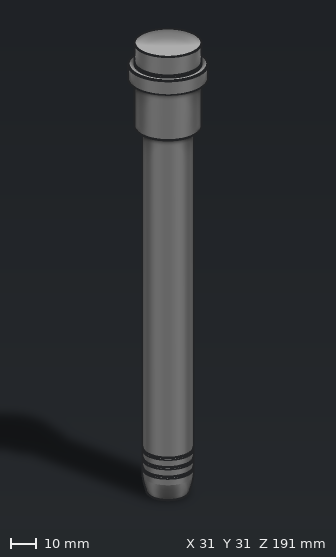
import cadquery as cq

total_length = 191.0
collar_top = total_length - 9.0
collar_bottom = total_length - 15.0
shoulder_bottom = total_length - 36.0

collar_radius = 15.5
head_radius = 13.0
pin_radius = 10.0
tip_radius = 8.4

collar_chamfer = 0.4
shoulder_chamfer = 0.5
head_chamfer = 0.2
tip_chamfer = 0.5

relief_height = 1.1
relief_depth = 0.5
collar_relief_height = 0.5
collar_relief_depth = 0.29

lead_in_height = 7.5
lead_in_bulge = 0.23

groove_count = 3
lowest_groove_height = 10.7
groove_pitch = 4.0
groove_width = 1.1
groove_depth = 0.4


def disc(radius, bottom, top):
    return cq.Workplane("XY").workplane(offset=bottom).circle(radius).extrude(top - bottom)


def v_ring(radius, depth, bottom, height):
    """Cutter for a V groove whose mouth lies on the given radius."""
    middle = bottom + height / 2
    return (
        cq.Workplane("XZ")
        .moveTo(radius, bottom)
        .lineTo(radius + depth, middle)
        .lineTo(radius, bottom + height)
        .lineTo(radius - depth, middle)
        .close()
        .revolve(360, (0, 0, 0), (0, 1, 0))
    )


def pin():
    """Long pin with a convex lead-in and a chamfered end face."""
    lead_in_middle = (
        (pin_radius + tip_radius) / 2 + lead_in_bulge,
        (lead_in_height + tip_chamfer) / 2,
    )
    return (
        cq.Workplane("XZ")
        .lineTo(tip_radius - tip_chamfer, 0)
        .lineTo(tip_radius, tip_chamfer)
        .threePointArc(lead_in_middle, (pin_radius, lead_in_height))
        .lineTo(pin_radius, shoulder_bottom)
        .lineTo(0, shoulder_bottom)
        .close()
        .revolve(360, (0, 0, 0), (0, 1, 0))
    )


shoulder = disc(head_radius, shoulder_bottom, collar_bottom).faces("<Z").chamfer(shoulder_chamfer)
collar = disc(collar_radius, collar_bottom, collar_top).faces(">Z").chamfer(collar_chamfer)
head = disc(head_radius, collar_top, total_length).faces(">Z").chamfer(head_chamfer)

neck_cutter = v_ring(pin_radius, relief_depth, shoulder_bottom - relief_height, 2 * relief_height)
result = pin().cut(neck_cutter).union(shoulder).union(collar).union(head)

result = result.cut(v_ring(head_radius, collar_relief_depth, collar_top, relief_height))
lower_relief_bottom = collar_bottom - collar_relief_height
result = result.cut(v_ring(head_radius, collar_relief_depth, lower_relief_bottom, collar_relief_height))

for index in range(groove_count):
    groove_bottom = lowest_groove_height + index * groove_pitch - groove_width / 2
    result = result.cut(v_ring(pin_radius, groove_depth, groove_bottom, groove_width))